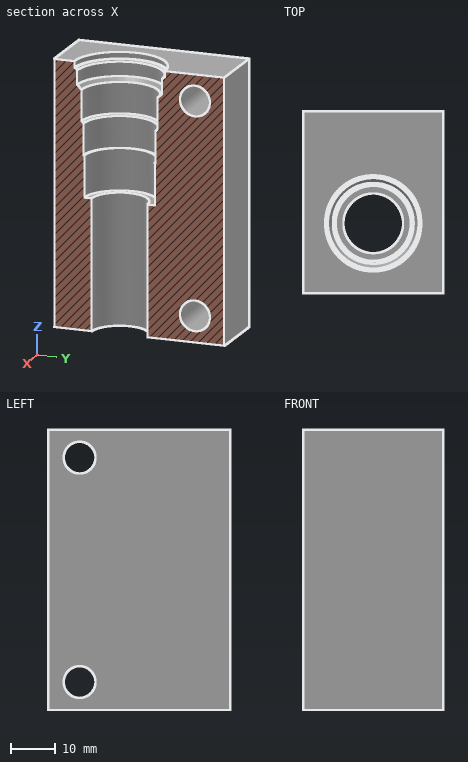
import cadquery as cq

block_width = 31.75
block_depth = 41.275
block_height = 63.5

mount_hole_diameter = 7.14
mount_hole_back_inset = 7.14
mount_hole_end_inset = 6.35

cavity_front_inset = block_width / 2
mouth_radius = 10.92
mouth_depth = 1.55
neck_radius = 10.6
bore_radius = 10.25
bore_top_depth = 2.1
bore_depth = 5.5
seat_radius = 9.18
seat_depth = bore_depth + bore_radius - seat_radius
seat_wall_depth = 14.0
guide_radius = 8.7
guide_top_depth = seat_wall_depth + seat_radius - guide_radius
nose_radius = 8.48
nose_top_depth = 22.0
floor_depth = 32.0
through_radius = 6.73


def make_block():
    """Plain block standing on Z = 0, with its front left edge on the Z axis."""
    return cq.Workplane("XY").box(block_width, block_depth, block_height, centered=False)


def make_cavity():
    """Stepped bore, revolved about its own vertical axis."""
    steps = [
        (mouth_radius, 0),
        (mouth_radius, mouth_depth),
        (neck_radius, mouth_depth),
        (bore_radius, bore_top_depth),
        (bore_radius, bore_depth),
        (seat_radius, seat_depth),
        (seat_radius, seat_wall_depth),
        (guide_radius, guide_top_depth),
        (guide_radius, nose_top_depth),
        (nose_radius, nose_top_depth),
        (nose_radius, floor_depth),
        (through_radius, floor_depth),
        (through_radius, block_height),
    ]
    outline = [(0, 0)]
    for radius, depth in steps:
        outline.append((radius, -depth))
    outline.append((0, -block_height))
    cavity = cq.Workplane("XZ").polyline(outline).close().revolve(360, (0, 0), (0, 1))
    return cavity.translate((block_width / 2, cavity_front_inset, block_height))


def make_mounting_holes():
    """Two holes running through the full width of the block."""
    hole_y = block_depth - mount_hole_back_inset
    centers = [
        (hole_y, mount_hole_end_inset),
        (hole_y, block_height - mount_hole_end_inset),
    ]
    return cq.Workplane("YZ").pushPoints(centers).circle(mount_hole_diameter / 2).extrude(block_width)


result = make_block().cut(make_cavity()).cut(make_mounting_holes())